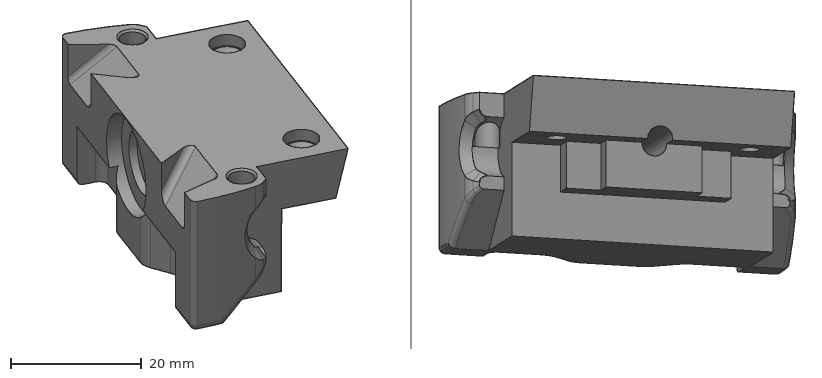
import cadquery as cq
import math

length = 55.05
height = 23.0
body_half_width = 20.95
body_back = 17.3
head_back = 28.3
head_back_low = 26.25
axis_height = 14.65

wing_back = 13.2
wing_bevel = 0.75
wing_bevel_start = 24.95
wing_shoulder_x = 26.55
wing_shoulder_y = 10.8
wing_corner_x = 26.25
wing_corner_y = 11.65
wing_slope_height = 7.9
edge_radius = 1.0
wing_groove_radius = 4.95
wing_groove_y = 14.95
groove_bevel_width = 1.05
groove_bevel_depth = 1.6

recess_height = 10.45
recess_half_width = 20.55
recess_depth = 4.55
recess_corner_radius = 1.55
nose_slope = math.radians(40)
nose_foot_x = 12.45
nose_slope_outer_x = 9.6
nose_slope_inner_x = 6.9
nose_flat_x = 4.6

bore_steps = [(16.4, 2.5), (10.4, 3.85)]
bore_diameter = 4.0

pad_bottom = 7.3
pad_steps = [(13.2, 20.5), (7.7, 23.2)]

screw_x = 15.5
screw_y = 22.75
screw_diameter = 3.15
screw_head_diameter = 5.6
screw_head_depth = 2.0
screw_seat_diameter = 5.05

pin_x = 22.8
pin_y = 10.0
pin_diameter = 4.15
pin_floor = 15.15
pin_chamfer = 0.35

pocket_reach = 6.7
pocket_outer_x = 24.3
pocket_inner_x = 14.7
pocket_outer_lean = 0.38
pocket_inner_lean = 0.66
pocket_radius = 1.0
margin = 4.4


def box(x_min, x_max, y_min, y_max, z_min, z_max):
    """Axis-aligned box between opposite corners."""
    size = (x_max - x_min, y_max - y_min, z_max - z_min)
    return cq.Workplane("XY").box(*size, centered=False).translate((x_min, y_min, z_min))


def both_sides(shape):
    """The shape together with its mirror image across the YZ plane."""
    return shape.union(shape.mirror("YZ"))


def make_body():
    """Central block with the overhanging head, its rear face sloping inward."""
    return (
        cq.Workplane("YZ")
        .polyline([
            (0, 0),
            (body_back, 0),
            (body_back, axis_height),
            (head_back_low, axis_height),
            (head_back, height),
            (0, height),
        ])
        .close()
        .extrude(body_half_width, both=True)
    )


def make_wing():
    """Right-hand wing with its curved flank, sloped underside and round side groove."""
    half_length = length / 2
    flank_drop = half_length - wing_shoulder_x
    flank_run = wing_shoulder_y - edge_radius
    flank_radius = (flank_run**2 + flank_drop**2) / (2 * flank_drop)
    mid_y = edge_radius + flank_run / 2
    mid_x = half_length - flank_radius + math.sqrt(flank_radius**2 - (flank_run / 2) ** 2)
    wing = (
        cq.Workplane("XY")
        .moveTo(recess_half_width, 0)
        .lineTo(half_length - edge_radius, 0)
        .radiusArc((half_length, edge_radius), -edge_radius)
        .threePointArc((mid_x, mid_y), (wing_shoulder_x, wing_shoulder_y))
        .threePointArc(
            (wing_corner_x, wing_corner_y),
            (wing_bevel_start + wing_bevel, wing_back - wing_bevel),
        )
        .lineTo(wing_bevel_start, wing_back)
        .lineTo(recess_half_width, wing_back)
        .close()
        .extrude(height)
    )
    underside = (
        cq.Workplane("YZ")
        .polyline([
            (wing_back - wing_slope_height, 0),
            (wing_back, 0),
            (wing_back, wing_slope_height),
        ])
        .close()
        .extrude(length)
    )
    groove = (
        cq.Workplane("YZ")
        .center(wing_groove_y, axis_height)
        .circle(wing_groove_radius)
        .extrude(length)
    )
    wing = wing.cut(underside)
    lower_rim = wing.edges("(not (|X or |Z or <X or >Z)) or (<Y and <Z)")
    wing = lower_rim.fillet(edge_radius).cut(groove)
    groove_zone = cq.selectors.BoxSelector(
        (body_half_width, wing_groove_y - wing_groove_radius, axis_height - wing_groove_radius),
        (half_length, wing_back, axis_height + wing_groove_radius),
    )
    groove_rim = wing.edges(groove_zone).edges("not (|X or |Z)")
    return groove_rim.chamfer(groove_bevel_depth, groove_bevel_width)


def make_pad():
    """Stepped pad under the head, behind the body."""
    pad = cq.Workplane("XY")
    for half_width, rear_face in pad_steps:
        pad = pad.union(box(-half_width, half_width, body_back, rear_face, pad_bottom, axis_height))
    return pad


def make_recess():
    """Cutter for the lower front recess, with a nose left standing in the middle."""
    bend = math.tan(nose_slope / 2)
    foot_y = recess_depth - (nose_foot_x - nose_slope_outer_x) * bend
    shoulder_y = foot_y - (nose_slope_outer_x - nose_slope_inner_x) * math.tan(nose_slope)
    nose_y = shoulder_y - (nose_slope_inner_x - nose_flat_x) * bend
    foot_radius = (nose_foot_x - nose_slope_outer_x) / math.sin(nose_slope)
    shoulder_radius = (nose_slope_inner_x - nose_flat_x) / math.sin(nose_slope)
    corner_x = recess_half_width - recess_corner_radius
    corner_y = recess_depth - recess_corner_radius
    half = (
        cq.Workplane("XY")
        .moveTo(0, -margin)
        .lineTo(recess_half_width, -margin)
        .lineTo(recess_half_width, corner_y)
        .radiusArc((corner_x, recess_depth), -recess_corner_radius)
        .lineTo(nose_foot_x, recess_depth)
        .radiusArc((nose_slope_outer_x, foot_y), -foot_radius)
        .lineTo(nose_slope_inner_x, shoulder_y)
        .radiusArc((nose_flat_x, nose_y), shoulder_radius)
        .lineTo(0, nose_y)
        .close()
        .extrude(recess_height)
    )
    return both_sides(half)


def make_bore():
    """Cutter for the stepped front bore and the hole through to the back."""
    front = cq.Workplane("XZ").center(0, axis_height)
    bore = front.circle(bore_diameter / 2).extrude(-head_back)
    for diameter, depth in bore_steps:
        bore = bore.union(front.circle(diameter / 2).extrude(-depth))
    return bore


def make_screw_hole():
    """Cutter for the right-hand head screw: counterbore, conical seat and through hole."""
    seat_z = height - screw_head_depth
    seat_depth = (screw_seat_diameter - screw_diameter) / 2
    return (
        cq.Workplane("XZ", origin=(screw_x, screw_y, 0))
        .polyline([
            (0, 0),
            (screw_diameter / 2, 0),
            (screw_diameter / 2, seat_z - seat_depth),
            (screw_seat_diameter / 2, seat_z),
            (screw_head_diameter / 2, seat_z),
            (screw_head_diameter / 2, height),
            (0, height),
        ])
        .close()
        .revolve(360, (0, 0), (0, 1))
    )


def make_pin_hole():
    """Cutter for the right-hand blind pin hole with a chamfered mouth."""
    radius = pin_diameter / 2
    return (
        cq.Workplane("XZ", origin=(pin_x, pin_y, 0))
        .polyline([
            (0, pin_floor),
            (radius, pin_floor),
            (radius, height - pin_chamfer),
            (radius + pin_chamfer, height),
            (0, height),
        ])
        .close()
        .revolve(360, (0, 0), (0, 1))
    )


def make_pocket():
    """Cutter for the right-hand slanted pocket: 45 degree floor and leaning side walls."""
    floor_front_z = height - pocket_reach
    near = -margin
    far = pocket_reach + margin
    wedge = (
        cq.Workplane("YZ")
        .polyline([
            (near, floor_front_z + near),
            (far, floor_front_z + far),
            (near, floor_front_z + far),
        ])
        .close()
        .extrude(length)
    )
    walls = (
        cq.Workplane("XY")
        .polyline([
            (pocket_inner_x - near * pocket_inner_lean, near),
            (pocket_outer_x - near * pocket_outer_lean, near),
            (pocket_outer_x - far * pocket_outer_lean, far),
            (pocket_inner_x - far * pocket_inner_lean, far),
        ])
        .close()
        .extrude(2 * height)
    )
    pocket = wedge.intersect(walls)
    floor_direction = cq.Vector(0, 1, -1)
    floor = pocket.faces(cq.selectors.DirectionMinMaxSelector(floor_direction, True))
    floor_sides = floor.edges("not |X")
    return floor_sides.fillet(pocket_radius)


corner_notch = box(recess_half_width, body_half_width, 0, recess_depth, 0, recess_height)
result = (
    make_body()
    .cut(both_sides(corner_notch))
    .union(make_pad())
    .union(both_sides(make_wing()))
    .cut(make_recess())
    .cut(make_bore())
)
for cutter in (make_screw_hole(), make_pin_hole(), make_pocket()):
    result = result.cut(both_sides(cutter))
result = result.solids()